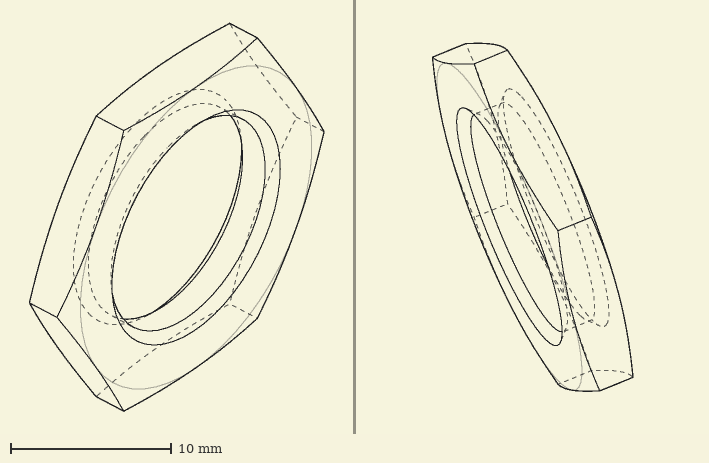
import cadquery as cq
import math

thickness = 3.2
across_flats = 22.0
across_corners = across_flats / math.cos(math.radians(30))

bore_diameter = 14.67
mouth_diameter = 16.0
countersink_angle = 45.0

corner_chamfer_angle = 15.0


def hexagon_body():
    """Hexagonal prism with two corners on the Y axis and two flats facing Z."""
    return (
        cq.Workplane("YZ")
        .polygon(6, across_corners)
        .extrude(thickness / 2, both=True)
    )


def round_body(end_diameter, middle_diameter, cone_angle):
    """Full-thickness body of revolution about X: a cylinder with a cone at each end.

    The cone angle is measured from the end face.
    """
    end_radius = end_diameter / 2
    middle_radius = middle_diameter / 2
    cone_depth = abs(middle_radius - end_radius) * math.tan(math.radians(cone_angle))
    half = thickness / 2
    return (
        cq.Workplane("XY")
        .moveTo(-half, 0)
        .lineTo(-half, end_radius)
        .lineTo(-half + cone_depth, middle_radius)
        .lineTo(half - cone_depth, middle_radius)
        .lineTo(half, end_radius)
        .lineTo(half, 0)
        .close()
        .revolve(360, (0, 0, 0), (1, 0, 0))
    )


chamfered_blank = round_body(across_flats, across_corners, corner_chamfer_angle)
countersunk_bore = round_body(mouth_diameter, bore_diameter, countersink_angle)

result = hexagon_body().intersect(chamfered_blank).cut(countersunk_bore)